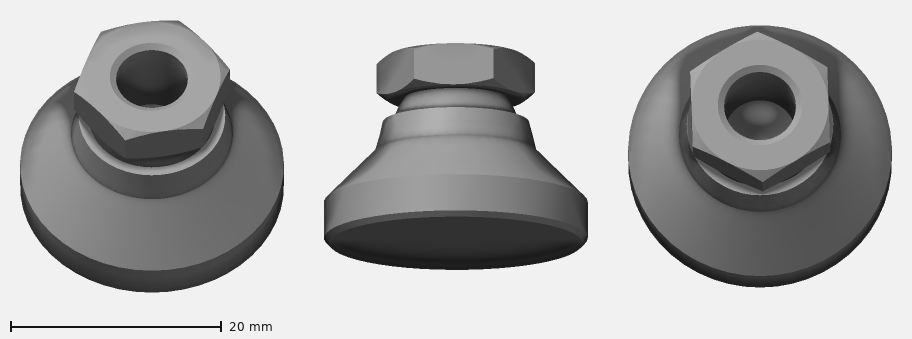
import cadquery as cq
import math

foot_radius = 12.5
foot_chamfer = 0.5
rim_top = 4.0
shoulder_height = 8.88
shoulder_radius = 7.68
collar_top = 11.7
collar_radius = 6.95

ball_radius = 6.18
ball_center_height = 10.25
head_bottom = 14.0
head_height = 4.0
head_across_flats = 13.0
head_chamfer_angle = 30.0

hole_radius = 3.4
countersink_radius = 4.0
countersink_angle = 120.0
hole_depth = 9.0
drill_tip_angle = 118.0

head_top = head_bottom + head_height
flat_radius = head_across_flats / 2
corner_radius = flat_radius / math.cos(math.radians(30))
head_chamfer_height = (corner_radius - flat_radius) * math.tan(math.radians(head_chamfer_angle))


def revolve_profile(points):
    """Revolve (radius, height) points about the Z axis."""
    return cq.Workplane("XZ").polyline(points).close().revolve(360, (0, 0, 0), (0, 1, 0))


def make_ball():
    return cq.Workplane("XY").sphere(ball_radius).translate((0, 0, ball_center_height))


def make_foot():
    body = revolve_profile([
        (0, 0),
        (foot_radius - foot_chamfer, 0),
        (foot_radius, foot_chamfer),
        (foot_radius, rim_top),
        (shoulder_radius, shoulder_height),
        (collar_radius, collar_top),
        (0, collar_top),
    ])
    return body.cut(make_ball())


def make_head():
    hexagon = (
        cq.Workplane("XY", origin=(0, 0, head_bottom))
        .polygon(6, 2 * corner_radius)
        .extrude(head_height)
        .rotate((0, 0, 0), (0, 0, 1), 30)
    )
    envelope = revolve_profile([
        (0, head_bottom),
        (flat_radius, head_bottom),
        (corner_radius, head_bottom + head_chamfer_height),
        (corner_radius, head_top - head_chamfer_height),
        (flat_radius, head_top),
        (0, head_top),
    ])
    return hexagon.intersect(envelope)


def make_hole():
    countersink_depth = (countersink_radius - hole_radius) / math.tan(math.radians(countersink_angle / 2))
    tip_length = hole_radius / math.tan(math.radians(drill_tip_angle / 2))
    hole_bottom = head_top - hole_depth
    return revolve_profile([
        (0, head_top),
        (countersink_radius, head_top),
        (hole_radius, head_top - countersink_depth),
        (hole_radius, hole_bottom),
        (0, hole_bottom - tip_length),
    ])


def make_ball_stud():
    ball_keep_height = 2 * ball_radius
    trim = (
        cq.Workplane("XY", origin=(0, 0, head_bottom - ball_keep_height))
        .circle(ball_radius)
        .extrude(ball_keep_height)
    )
    return make_ball().intersect(trim).union(make_head()).cut(make_hole())


foot = make_foot()
ball_stud = make_ball_stud()
result = cq.Compound.makeCompound([foot.val(), ball_stud.val()])